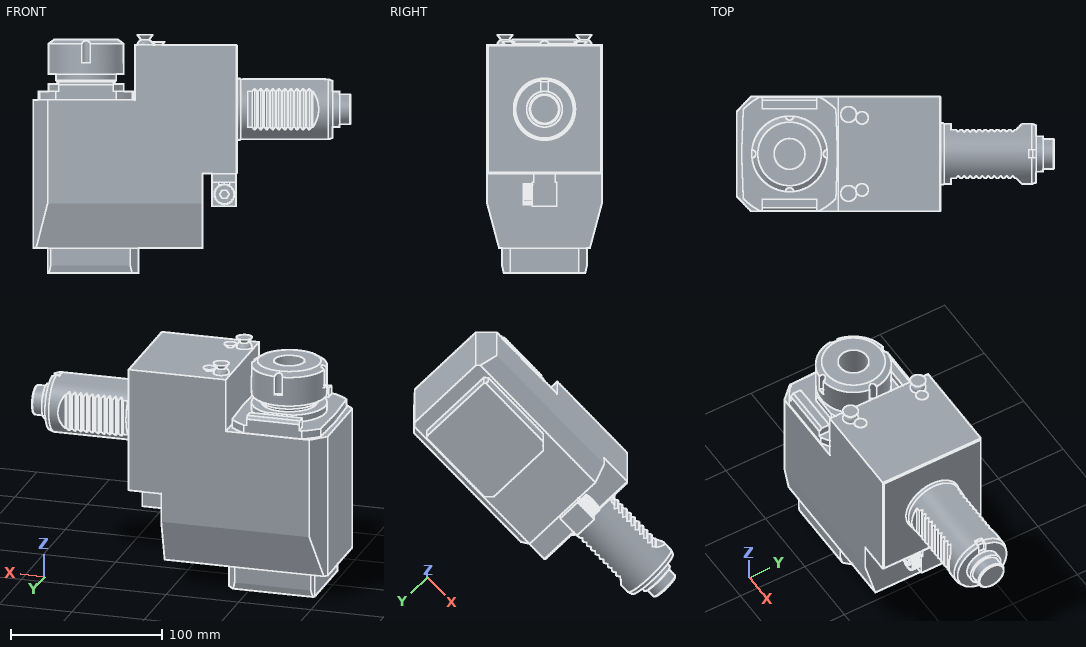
import math

import cadquery as cq


body_left = -135.0
body_half_width = 38.0
head_half_height = 42.5
head_left = -67.7
lower_right = -23.0
spindle_seat_z = 6.2
body_bottom_z = -91.7
front_chamfer_x = 9.6
front_chamfer_y = 10.0
taper_height = 29.5
taper_angle = 15.0
rear_edge_chamfer = 0.7

foot_left = -125.4
foot_right = -65.2
foot_half_width = 28.1
foot_bottom_z = -108.3
foot_left_chamfer = 2.0
foot_right_chamfer = 5.5
foot_taper_height = 4.9
foot_taper_inset = 1.1

spindle_x = -100.0
plate_top_z = 11.8
plate_half_length = 31.6
plate_corner_half_length = 30.3
plate_half_width = 37.5
plate_flat_half = 2.3
plate_corner_radius = 42.5
bar_half_length = 18.1
bar_inner_y = 29.9
bar_top_z = 18.1
bar_chamfer = 2.0
disc_radius = 25.0
disc_flat_y = 23.1
disc_top_z = 16.8
neck_radius = 18.2
collar_radius = 20.0
collar_bottom_z = 19.3
nut_radius = 25.0
nut_bottom_z = 23.2
nut_top_z = 46.1
nut_chamfer_radial = 4.0
nut_chamfer_height = 2.8
nut_bore_radius = 10.2
nut_bore_depth = 30.0
nut_slot_radius = 2.7
nut_slot_bottom_z = 30.6
nut_slot_count = 4

shank_radius = 20.0
shank_length = 63.0
shank_end_radius = 19.0
shank_end_taper = 2.9
rim_radius = 20.5
rim_length = 0.5
rim_groove_x = 2.2
rim_groove_radius = 19.9
rim_groove_end = 3.7
pilot_radius = 11.8
pilot_end = 67.5
tip_radius = 10.0
tip_end = 75.0
tip_chamfer = 0.7
tooth_flat_y = 16.1
tooth_start = 6.7
tooth_ramp_start = 49.8
tooth_count = 10
tooth_pitch = 4.0
first_groove_x = 11.4
groove_half_width = 1.5
key_slot_start = 57.9
key_slot_width = 5.2
key_slot_depth = 2.0
key_slot_step_x = 60.7
key_slot_step_z = pilot_radius

screw_x = -61.0
screw_y = 26.1
screw_radius = 5.2
screw_waist_radius = 2.7
screw_dome_radius = 4.6
overall_height = 157.55
screw_top_z = foot_bottom_z + overall_height
screw_waist_z = (head_half_height + screw_top_z) / 2
plug_x = -52.1
plug_y = 23.8
plug_base_radius = 2.2
plug_top_radius = 4.1
plug_height = 2.0

clamp_left = -16.9
clamp_right = -0.9
clamp_half_width = 8.0
clamp_size = clamp_right - clamp_left
clamp_top_z = -48.2
clamp_bottom_z = clamp_top_z - clamp_size
hanger_half_width = 7.0
cap_x = -8.6
cap_z = (clamp_top_z + clamp_bottom_z) / 2
cap_radius = 6.8
cap_root_radius = 6.2
cap_knurl_count = 24
cap_height = 6.0
cap_socket_width = 5.4
cap_socket_depth = 3.0
clamp_notch_width = 7.4
clamp_notch_height = 1.8


def box(x0, x1, y0, y1, z0, z1):
    return cq.Workplane("XY").box(x1 - x0, y1 - y0, z1 - z0, centered=False).translate((x0, y0, z0))


def mirrored(shape):
    """Join a shape with its mirror image across the XZ plane."""
    return shape.union(shape.mirror("XZ"))


def cylinder(radius, z0, z1):
    return cq.Workplane("XY").workplane(offset=z0).circle(radius).extrude(z1 - z0)


def turned_on_z(points, x, y):
    """Revolve an (r, z) profile about a vertical axis through (x, y)."""
    return cq.Workplane("XZ").polyline(points).close().revolve(360, (0, 0), (0, 1)).translate((x, y, 0))


def make_housing():
    height = spindle_seat_z - body_bottom_z
    side_outline = [
        (body_left, spindle_seat_z),
        (head_left, spindle_seat_z),
        (head_left, head_half_height),
        (0, head_half_height),
        (0, -head_half_height),
        (lower_right, -head_half_height),
        (lower_right, body_bottom_z),
        (body_left, body_bottom_z),
    ]
    housing = cq.Workplane("XZ").polyline(side_outline).close().extrude(body_half_width, both=True)
    housing = housing.faces(">X").edges().chamfer(rear_edge_chamfer)

    corner = [
        (body_left, -body_half_width),
        (body_left + front_chamfer_x, -body_half_width),
        (body_left, -body_half_width + front_chamfer_y),
    ]
    corner_cut = cq.Workplane("XY").workplane(offset=body_bottom_z).polyline(corner).close().extrude(height)
    housing = housing.cut(mirrored(corner_cut))

    taper_inset = taper_height * math.tan(math.radians(taper_angle))
    taper = [
        (-body_half_width, body_bottom_z + taper_height),
        (-body_half_width, body_bottom_z),
        (-body_half_width + taper_inset, body_bottom_z),
    ]
    taper_cut = cq.Workplane("YZ").workplane(offset=body_left).polyline(taper).close().extrude(-body_left)
    return housing.cut(mirrored(taper_cut))


def make_foot():
    foot = box(foot_left, foot_right, -foot_half_width, foot_half_width, foot_bottom_z, body_bottom_z)
    foot = foot.edges("|Z and <X").chamfer(foot_left_chamfer)
    foot = foot.edges("|Z and >X").chamfer(foot_right_chamfer)
    taper = [
        (-foot_half_width, foot_bottom_z + foot_taper_height),
        (-foot_half_width, foot_bottom_z),
        (-foot_half_width + foot_taper_inset, foot_bottom_z),
    ]
    taper_cut = (
        cq.Workplane("YZ").workplane(offset=foot_left).polyline(taper).close().extrude(foot_right - foot_left)
    )
    return foot.cut(mirrored(taper_cut))


def make_cover_plate():
    """Plate with slightly bowed ends and rounded corners, carrying two bars and a flatted disc."""
    outline = [
        (plate_half_length, -plate_flat_half),
        (plate_half_length, plate_flat_half),
        (plate_corner_half_length, plate_half_width),
        (-plate_corner_half_length, plate_half_width),
        (-plate_half_length, plate_flat_half),
        (-plate_half_length, -plate_flat_half),
        (-plate_corner_half_length, -plate_half_width),
        (plate_corner_half_length, -plate_half_width),
    ]
    height = plate_top_z - spindle_seat_z
    plate = cq.Workplane("XY").workplane(offset=spindle_seat_z).polyline(outline).close().extrude(height)
    plate = plate.intersect(cylinder(plate_corner_radius, spindle_seat_z, plate_top_z))

    bar = box(-bar_half_length, bar_half_length, -plate_half_width, -bar_inner_y, spindle_seat_z, bar_top_z)
    bar = bar.edges("<Y and >Z").chamfer(bar_chamfer)

    disc = cylinder(disc_radius, plate_top_z, disc_top_z)
    disc = disc.intersect(
        box(-disc_radius, disc_radius, -disc_flat_y, disc_flat_y, plate_top_z, disc_top_z)
    )
    return plate.union(mirrored(bar)).union(disc).translate((spindle_x, 0, 0))


def make_spindle():
    profile = [
        (0, spindle_seat_z),
        (neck_radius, spindle_seat_z),
        (neck_radius, disc_top_z),
        (collar_radius, collar_bottom_z),
        (collar_radius, nut_bottom_z),
        (nut_radius, nut_bottom_z),
        (nut_radius, nut_top_z - nut_chamfer_height),
        (nut_radius - nut_chamfer_radial, nut_top_z),
        (0, nut_top_z),
    ]
    spindle = turned_on_z(profile, 0, 0)
    spindle = spindle.cut(cylinder(nut_bore_radius, nut_top_z - nut_bore_depth, nut_top_z))
    slots = (
        cq.Workplane("XY")
        .workplane(offset=nut_slot_bottom_z)
        .polarArray(nut_radius, 0, 360, nut_slot_count)
        .circle(nut_slot_radius)
        .extrude(nut_top_z - nut_slot_bottom_z)
    )
    return spindle.cut(slots).translate((spindle_x, 0, 0))


def make_shank():
    end_profile = [
        (shank_length - shank_end_taper, shank_radius),
        (shank_length, shank_end_radius),
        (shank_length, pilot_radius),
        (pilot_end, pilot_radius),
        (pilot_end, tip_radius),
        (tip_end - tip_chamfer, tip_radius),
        (tip_end, tip_radius - tip_chamfer),
        (tip_end, 0),
    ]
    profile = (
        cq.Workplane("XY")
        .moveTo(-rear_edge_chamfer, 0)
        .lineTo(-rear_edge_chamfer, rim_radius)
        .lineTo(rim_length, rim_radius)
        .tangentArcPoint((rim_groove_x, rim_groove_radius), relative=False)
        .lineTo(rim_groove_end, shank_radius)
    )
    for point in end_profile:
        profile = profile.lineTo(*point)
    shank = profile.close().revolve(360, (0, 0), (1, 0))
    shank = shank.cut(mirrored(make_tooth_cut()))
    slot_half = key_slot_width / 2
    slot_floor_z = shank_radius - key_slot_depth
    slot = box(key_slot_start, shank_length, -slot_half, slot_half, slot_floor_z, shank_radius)
    step = box(key_slot_step_x, shank_length, -slot_half, slot_half, key_slot_step_z, shank_radius)
    return shank.cut(slot).cut(step)


def make_tooth_cut():
    """Material removed from the -Y side: a flat with a 45 degree run-out and a row of V grooves."""
    outer_y = rim_radius
    outline = [(tooth_start, -outer_y), (tooth_start, -tooth_flat_y)]
    for i in range(tooth_count):
        x = first_groove_x + i * tooth_pitch
        outline.append((x - groove_half_width, -tooth_flat_y))
        outline.append((x, -tooth_flat_y + groove_half_width))
        outline.append((x + groove_half_width, -tooth_flat_y))
    outline.append((tooth_ramp_start, -tooth_flat_y))
    outline.append((tooth_ramp_start + outer_y - tooth_flat_y, -outer_y))
    return cq.Workplane("XY").polyline(outline).close().extrude(shank_radius, both=True)


def make_head_screws():
    """Two domed screws with flared heads, each beside a small flared plug."""
    dome_middle_z = (head_half_height + screw_waist_z) / 2
    screw = (
        cq.Workplane("XZ")
        .moveTo(0, head_half_height)
        .lineTo(screw_radius, head_half_height)
        .threePointArc((screw_dome_radius, dome_middle_z), (screw_waist_radius, screw_waist_z))
        .lineTo(screw_radius, screw_top_z)
        .lineTo(0, screw_top_z)
        .close()
        .revolve(360, (0, 0), (0, 1))
        .translate((screw_x, -screw_y, 0))
    )
    plug_profile = [
        (0, head_half_height),
        (plug_base_radius, head_half_height),
        (plug_top_radius, head_half_height + plug_height),
        (0, head_half_height + plug_height),
    ]
    plug = turned_on_z(plug_profile, plug_x, -plug_y)
    return mirrored(screw.union(plug))


def make_cap_screw():
    """Knurled head with a hexagon socket, standing on the -Y face of the clamp block."""
    knurl = []
    for i in range(cap_knurl_count):
        for radius, step in ((cap_radius, i), (cap_root_radius, i + 0.5)):
            angle = math.tau * step / cap_knurl_count
            knurl.append((radius * math.cos(angle), radius * math.sin(angle)))
    head = cq.Workplane("XZ").polyline(knurl).close().extrude(cap_height)
    hexagon_diameter = cap_socket_width / math.cos(math.pi / 6)
    socket = cq.Workplane("XZ").polygon(6, hexagon_diameter).extrude(cap_socket_depth)
    head = head.cut(socket.translate((0, cap_socket_depth - cap_height, 0)))
    return head.translate((cap_x, -clamp_half_width, cap_z))


def make_clamp_block():
    """Square block on a slightly narrower hanger, notched above its cap screw."""
    block = box(
        clamp_left, clamp_right, -clamp_half_width, clamp_half_width, clamp_bottom_z, clamp_top_z
    )
    notch = [
        (-clamp_half_width, clamp_top_z),
        (-clamp_half_width, clamp_top_z - clamp_notch_height),
        (-hanger_half_width, clamp_top_z - clamp_notch_height),
    ]
    notch_cut = cq.Workplane("YZ").polyline(notch).close().extrude(clamp_notch_width / 2, both=True)
    block = block.cut(notch_cut.translate((cap_x, 0, 0)))
    hanger = box(
        clamp_left, clamp_right, -hanger_half_width, hanger_half_width, clamp_top_z, -head_half_height
    )
    return block.union(hanger).union(make_cap_screw())


result = (
    make_housing()
    .union(make_foot())
    .union(make_cover_plate())
    .union(make_spindle())
    .union(make_shank())
    .union(make_head_screws())
    .union(make_clamp_block())
)